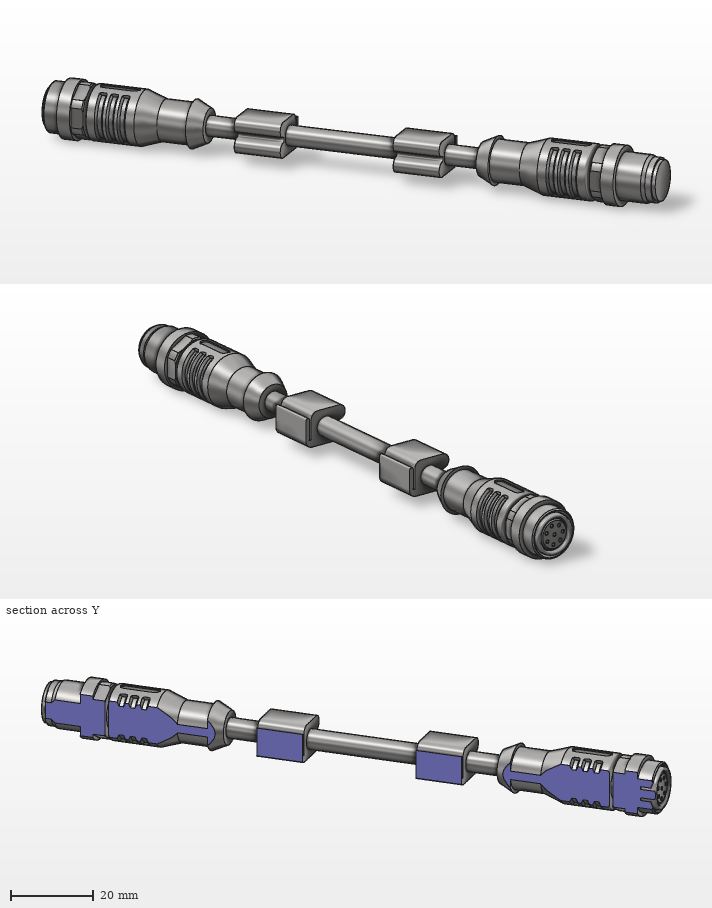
import cadquery as cq
import math

TOTAL_LENGTH = 160
CABLE_DIA = 5.1

GRIP_DIA = 14.0
GRIP_LENGTH = 12.6
GRIP_EDGE_RADIUS = 0.5
TAPER_END = 18.0
NECK_DIA = 10.5
COLLAR_START = 25.8
COLLAR_DIA = 12.3
BOOT_LENGTH = 29.6
BOOT_END_DIA = 8.6
SOCKET_GRIP_START = 12.2
PLUG_GRIP_START = 142.5

GROOVE_COUNT = 3
GROOVE_FIRST = 3.4
GROOVE_LAST = 9.3
GROOVE_PITCH = (GROOVE_LAST - GROOVE_FIRST) / (GROOVE_COUNT - 1)
GROOVE_WIDTH = 2.0
GROOVE_FLOOR_WIDTH = 1.1
GROOVE_FLOOR_DIA = 12.8
GROOVE_INNER_Y = 3.2
GROOVE_CORNER_RADIUS = 0.6

SLOT_START = 1.3
SLOT_LENGTH = 10.2
SLOT_WIDTH = 2.5
SLOT_FLOOR_Z = 6.5

STEM_DIA = 8.6
RING_DIA = 15.0
RING_LENGTH = 3.4
HEX_LENGTH = 3.2
HEX_FLATS = 13.1
HEX_CORNER_DIA = 14.0
HEX_CHAMFER = 0.3
HEX_STEM_GAP = 0.8

SLEEVE_DIA = 12.8
SLEEVE_START = 0.8
SLEEVE_CHAMFER = 0.3
SLEEVE_BORE_DIA = 10.9
SLEEVE_MOUTH_DIA = 12.0
SLEEVE_BORE_DEPTH = 3.2
INSERT_DIA = 10.5
INSERT_BORE_DIA = 8.6
INSERT_BORE_DEPTH = 1.3
CORE_DIA = 7.8
CORE_START = 0.5
CORE_CHAMFER = 0.3
CONTACT_HOLE_DIA = 0.7
CONTACT_MOUTH_DIA = 1.0
CONTACT_HOLE_DEPTH = 3.2
CONTACT_CIRCLE_DIA = 5.1
CONTACT_COUNT = 7
CONTACT_FIRST_ANGLE = 20

THREAD_DIA = 12.0
THREAD_END = 156.5
THREAD_RUNOUT_END = 157.5
TAIL_DIA = 11.2
TAIL_END = 159.0
TIP_DIA = 10.2

CLIP_STARTS = (50.5, 92.0)
CLIP_LENGTH = 12.0
CLIP_HEIGHT = 9.1
CLIP_WIDTH = 12.0
CLIP_LOBE_RADIUS = 2.0
CLIP_LIP_THICKNESS = 1.1
CLIP_SLOT_WIDTH = 0.5


def revolved(points):
    """Solid of revolution about X from (x, diameter) points of a half profile closed on the axis."""
    outline = [(x, dia / 2) for x, dia in points]
    return cq.Workplane("XY").polyline(outline).close().revolve(360, (0, 0, 0), (1, 0, 0))


def cylinder(start, end, dia):
    return cq.Workplane("YZ", origin=(start, 0, 0)).circle(dia / 2).extrude(end - start)


def finger_groove(center):
    """Pair of tapered ring segments, one on each side of the grip."""
    outer = GROOVE_WIDTH / 2
    floor = GROOVE_FLOOR_WIDTH / 2
    ring = revolved([
        (center - floor, GROOVE_FLOOR_DIA),
        (center - outer, GRIP_DIA),
        (center - outer, RING_DIA),
        (center + outer, RING_DIA),
        (center + outer, GRIP_DIA),
        (center + floor, GROOVE_FLOOR_DIA),
    ])
    reach = RING_DIA / 2
    side_y = GROOVE_INNER_Y + reach / 2
    sides = (
        cq.Workplane("XY", origin=(0, 0, -reach))
        .pushPoints([(center, side_y), (center, -side_y)])
        .rect(GROOVE_WIDTH, reach)
        .extrude(2 * reach)
        .edges("|Z")
        .fillet(GROOVE_CORNER_RADIUS)
    )
    return ring.intersect(sides)


def boot():
    """Moulded grip, neck and collar running along +X from the coupling end at the origin."""
    body = revolved([
        (0, 0),
        (0, GRIP_DIA),
        (GRIP_LENGTH, GRIP_DIA),
        (TAPER_END, NECK_DIA),
        (COLLAR_START, NECK_DIA),
        (COLLAR_START, COLLAR_DIA),
        (BOOT_LENGTH, BOOT_END_DIA),
        (BOOT_LENGTH, 0),
    ])
    body = body.faces("<X").edges().fillet(GRIP_EDGE_RADIUS)
    for index in range(GROOVE_COUNT):
        body = body.cut(finger_groove(GROOVE_FIRST + index * GROOVE_PITCH))
    slot = (
        cq.Workplane("XY", origin=(SLOT_START + SLOT_LENGTH / 2, 0, SLOT_FLOOR_Z))
        .slot2D(SLOT_LENGTH, SLOT_WIDTH)
        .extrude(GRIP_DIA / 2 - SLOT_FLOOR_Z)
    )
    return body.cut(slot).cut(slot.mirror("XY"))


def coupling_nut():
    """Ring and hexagon along -X from the coupling end of a boot at the origin, with the stem."""
    hex_end = -HEX_STEM_GAP
    ring_end = hex_end - HEX_LENGTH
    ring_start = ring_end - RING_LENGTH
    hexagon = (
        cq.Workplane("YZ", origin=(ring_end, 0, 0))
        .polygon(6, HEX_FLATS, circumscribed=True)
        .extrude(HEX_LENGTH)
    )
    corners = cylinder(ring_end, hex_end, HEX_CORNER_DIA).faces(">X").chamfer(HEX_CHAMFER)
    ring = cylinder(ring_start, ring_end, RING_DIA)
    stem = cylinder(ring_end, 0, STEM_DIA)
    return ring.union(hexagon.intersect(corners)).union(stem)


def connector():
    return boot().union(coupling_nut())


def contact_hole():
    """Countersunk contact hole on the X axis, entering the face of the core."""
    funnel_end = CORE_START + (CONTACT_MOUTH_DIA - CONTACT_HOLE_DIA) / 2
    hole_end = CORE_START + CONTACT_HOLE_DEPTH
    return revolved([
        (CORE_START, 0),
        (CORE_START, CONTACT_MOUTH_DIA),
        (funnel_end, CONTACT_HOLE_DIA),
        (hole_end, CONTACT_HOLE_DIA),
        (hole_end, 0),
    ])


def socket_face(body):
    """Sleeve, insert and contact holes at the X = 0 end."""
    ring_start = SOCKET_GRIP_START - HEX_STEM_GAP - HEX_LENGTH - RING_LENGTH
    sleeve = cylinder(SLEEVE_START, ring_start, SLEEVE_DIA).faces("<X").chamfer(SLEEVE_CHAMFER)
    mouth_depth = (SLEEVE_MOUTH_DIA - SLEEVE_BORE_DIA) / 2
    bore_end = SLEEVE_START + SLEEVE_BORE_DEPTH
    bore = revolved([
        (SLEEVE_START, 0),
        (SLEEVE_START, SLEEVE_MOUTH_DIA),
        (SLEEVE_START + mouth_depth, SLEEVE_BORE_DIA),
        (bore_end, SLEEVE_BORE_DIA),
        (bore_end, 0),
    ])
    bore_radius = INSERT_BORE_DIA / 2
    outer_radius = INSERT_DIA / 2
    rim_radius = (outer_radius - bore_radius) / 2
    insert = (
        cq.Workplane("XY")
        .moveTo(INSERT_BORE_DEPTH, 0)
        .lineTo(INSERT_BORE_DEPTH, bore_radius)
        .lineTo(rim_radius, bore_radius)
        .threePointArc((0, bore_radius + rim_radius), (rim_radius, outer_radius))
        .lineTo(bore_end, outer_radius)
        .lineTo(bore_end, 0)
        .close()
        .revolve(360, (0, 0, 0), (1, 0, 0))
    )
    core = cylinder(CORE_START, bore_end, CORE_DIA).faces("<X").chamfer(CORE_CHAMFER)
    body = body.union(sleeve).cut(bore).union(insert).union(core)
    hole = contact_hole()
    off_axis_hole = hole.translate((0, CONTACT_CIRCLE_DIA / 2, 0))
    for index in range(CONTACT_COUNT):
        angle = CONTACT_FIRST_ANGLE + index * 360 / CONTACT_COUNT
        body = body.cut(off_axis_hole.rotate((0, 0, 0), (1, 0, 0), angle))
    return body.cut(hole)


def plug_nose():
    """Threaded barrel and stepped tip at the X = TOTAL_LENGTH end."""
    start = PLUG_GRIP_START + HEX_STEM_GAP + HEX_LENGTH
    return revolved([
        (start, 0),
        (start, THREAD_DIA),
        (THREAD_END, THREAD_DIA),
        (THREAD_RUNOUT_END, TAIL_DIA),
        (TAIL_END, TAIL_DIA),
        (TAIL_END, TIP_DIA),
        (TOTAL_LENGTH, TIP_DIA),
        (TOTAL_LENGTH, 0),
    ])


def marker_clip(start):
    """Clip with two round lobes on the -Y side and an upright lip behind a slot on the +Y side."""
    top = CLIP_HEIGHT / 2
    lobe = CLIP_LOBE_RADIUS
    lobe_z = top - lobe
    lobe_y = lobe - CLIP_WIDTH / 2
    groove = lobe_z - lobe
    lip_outer = CLIP_WIDTH / 2
    lip_inner = lip_outer - CLIP_LIP_THICKNESS
    lip_middle = (lip_outer + lip_inner) / 2
    slot_inner = lip_inner - CLIP_SLOT_WIDTH
    corner = lobe * math.sqrt(0.5)
    profile = (
        cq.Workplane("YZ", origin=(start, 0, 0))
        .moveTo(slot_inner - lobe, top)
        .lineTo(lobe_y, top)
        .threePointArc((lobe_y - lobe, lobe_z), (lobe_y, groove))
        .threePointArc((lobe_y + groove, 0), (lobe_y, -groove))
        .threePointArc((lobe_y - lobe, -lobe_z), (lobe_y, -top))
        .lineTo(lip_outer - lobe, -top)
        .threePointArc((lip_outer - lobe + corner, -lobe_z - corner), (lip_outer, -lobe_z))
        .lineTo(lip_outer, lobe_z)
        .threePointArc((lip_middle, lobe_z + CLIP_LIP_THICKNESS / 2), (lip_inner, lobe_z))
        .lineTo(lip_inner, -lobe_z)
        .lineTo(slot_inner, -lobe_z)
        .lineTo(slot_inner, lobe_z)
        .threePointArc((slot_inner - lobe + corner, lobe_z + corner), (slot_inner - lobe, top))
        .close()
    )
    return profile.extrude(CLIP_LENGTH)


socket = connector().translate((SOCKET_GRIP_START, 0, 0))
plug = connector().mirror("YZ").translate((PLUG_GRIP_START, 0, 0))
cable = cylinder(SOCKET_GRIP_START, PLUG_GRIP_START, CABLE_DIA)

result = socket_face(socket).union(cable).union(plug).union(plug_nose())
for clip_start in CLIP_STARTS:
    result = result.union(marker_clip(clip_start))